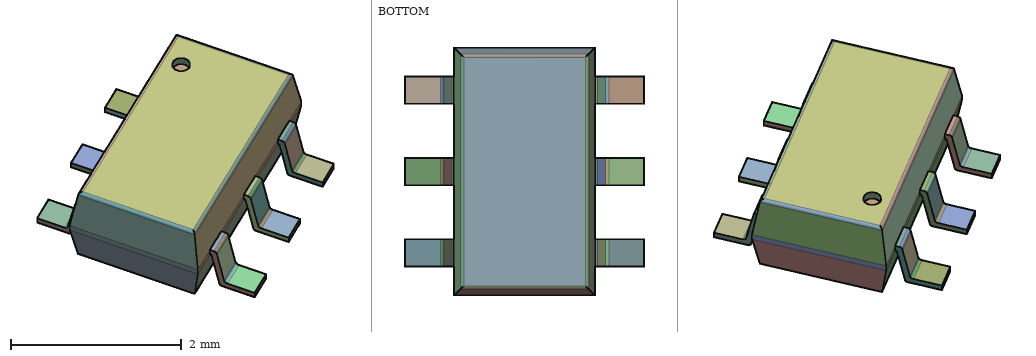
import cadquery as cq
import math

housing_width = 1.65
housing_length = 2.9
housing_height = 1.1
band_top = 0.565
upper_draft = 8.5
lower_draft = 9.0
edge_radius = 0.04

mark_diameter = 0.205
mark_depth = 0.107
mark_x = -0.493

lead_span = 2.8
lead_width = 0.322
lead_thickness = 0.078
lead_top = band_top
lead_pitch = 0.95
leads_per_side = 3
shoulder_corner_x = 0.908
foot_corner_x = 1.015
bend_radius = 0.04
armpit_radius = 0.02

band_bottom = band_top - lead_thickness
first_lead_y = lead_pitch * (leads_per_side - 1) / 2


def tapered_half(base_z, height, draft):
    """Half of the housing, tapering away from the band; a negative height points down."""
    return (
        cq.Workplane("XY")
        .workplane(offset=base_z)
        .rect(housing_width, housing_length)
        .extrude(height, taper=draft)
    )


def make_housing():
    band = (
        cq.Workplane("XY")
        .workplane(offset=band_bottom)
        .rect(housing_width, housing_length)
        .extrude(band_top - band_bottom)
    )
    upper_half = tapered_half(band_top, housing_height - band_top, upper_draft)
    lower_half = tapered_half(band_bottom, -band_bottom, lower_draft)
    body = band.union(upper_half).union(lower_half)

    body = body.faces(">Z or <Z").edges().fillet(edge_radius)

    mark = (
        cq.Workplane("XY")
        .workplane(offset=housing_height)
        .center(mark_x, first_lead_y)
        .circle(mark_diameter / 2)
        .extrude(-mark_depth)
    )
    return body.cut(mark)


def make_lead(side, center_y):
    """One gull-wing lead on the +X side (side = 1) or the -X side (side = -1)."""
    root_x = housing_width / 2
    tip_x = lead_span / 2

    leg_lean = math.atan2(foot_corner_x - shoulder_corner_x, band_bottom)
    bend_angle = math.pi / 2 - leg_lean
    miter = lead_thickness * math.tan(bend_angle / 2)
    armpit_x = shoulder_corner_x - miter
    heel_x = foot_corner_x - miter

    profile = [
        (root_x, lead_top),
        (shoulder_corner_x, lead_top),
        (foot_corner_x, lead_thickness),
        (tip_x, lead_thickness),
        (tip_x, 0),
        (heel_x, 0),
        (armpit_x, band_bottom),
        (root_x, band_bottom),
    ]
    mirrored_profile = [(side * x, z) for x, z in profile]
    lead = (
        cq.Workplane("XZ", origin=(0, center_y, 0))
        .polyline(mirrored_profile)
        .close()
        .extrude(lead_width / 2, both=True)
    )

    bend_corners = [
        (shoulder_corner_x, lead_top, bend_radius),
        (foot_corner_x, lead_thickness, bend_radius),
        (heel_x, 0, bend_radius),
        (armpit_x, band_bottom, armpit_radius),
    ]
    for x, z, radius in bend_corners:
        bend_edge = cq.selectors.NearestToPointSelector((side * x, center_y, z))
        lead = lead.edges(bend_edge).fillet(radius)
    return lead


housing = make_housing()
leads = []
for side in (-1, 1):
    for index in range(leads_per_side):
        lead = make_lead(side, first_lead_y - index * lead_pitch)
        leads.append(lead.val())

result = cq.Compound.makeCompound([housing.val(), *leads])